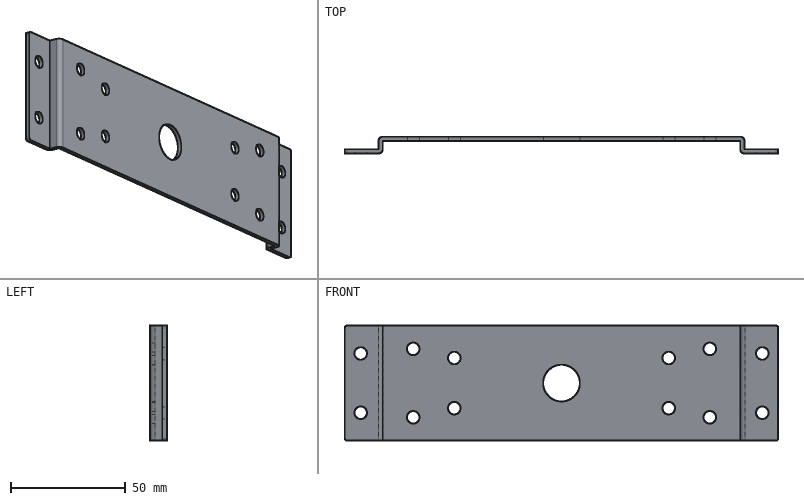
import cadquery as cq

LENGTH = 190.0
DEPTH = 7.5
HEIGHT = 50.5
THICKNESS = 2.0

PLATE_SPAN = 156.5
BEND_RADIUS = 2.0

CORNER_RADIUS = 1.0

CENTER_HOLE_DIAMETER = 16.0
SMALL_HOLE_DIAMETER = 5.4
HOLE_PAIRS = [
    (88.0, 26.0),
    (65.0, 30.0),
    (47.0, 22.0),
]

END_X = LENGTH / 2
WEB_INNER_X = PLATE_SPAN / 2
WEB_OUTER_X = WEB_INNER_X + THICKNESS
FLANGE_BACK_Y = THICKNESS
PLATE_FRONT_Y = DEPTH - THICKNESS


def make_strip():
    """Hat-shaped section, extruded over the height and centred on Z = 0."""
    right_back = [
        (WEB_OUTER_X, DEPTH),
        (WEB_OUTER_X, FLANGE_BACK_Y),
        (END_X, FLANGE_BACK_Y),
    ]
    right_front = [
        (END_X, 0),
        (WEB_INNER_X, 0),
        (WEB_INNER_X, PLATE_FRONT_Y),
    ]
    right_half = right_back + right_front
    left_half = [(-x, y) for x, y in reversed(right_half)]
    section = cq.Workplane("XY").polyline(right_half + left_half).close()
    return section.extrude(HEIGHT / 2, both=True)


def round_bends(strip):
    """Round the outer edge of all four bends."""
    for x, y in [(WEB_OUTER_X, DEPTH), (WEB_INNER_X, 0)]:
        for side in (-1, 1):
            outer_edge = cq.selectors.NearestToPointSelector((side * x, y, 0))
            strip = strip.edges("|Z").edges(outer_edge).fillet(BEND_RADIUS)
    return strip


def round_flange_corners(strip):
    """Round the four free corners of the end flanges."""
    for end in ("<X", ">X"):
        strip = strip.faces(end).edges("|Y").fillet(CORNER_RADIUS)
    return strip


def hole_cutter(points, diameter):
    """Cylinders along Y, long enough to pass through the whole depth."""
    return cq.Workplane("XZ").pushPoints(points).circle(diameter / 2).extrude(-DEPTH)


def drill_holes(strip):
    """Cut the central opening and the mirrored pairs of small holes."""
    small_holes = [
        (x_side * distance, z_side * pitch / 2)
        for distance, pitch in HOLE_PAIRS
        for x_side in (-1, 1)
        for z_side in (-1, 1)
    ]
    strip = strip.cut(hole_cutter([(0, 0)], CENTER_HOLE_DIAMETER))
    return strip.cut(hole_cutter(small_holes, SMALL_HOLE_DIAMETER))


result = drill_holes(round_flange_corners(round_bends(make_strip())))